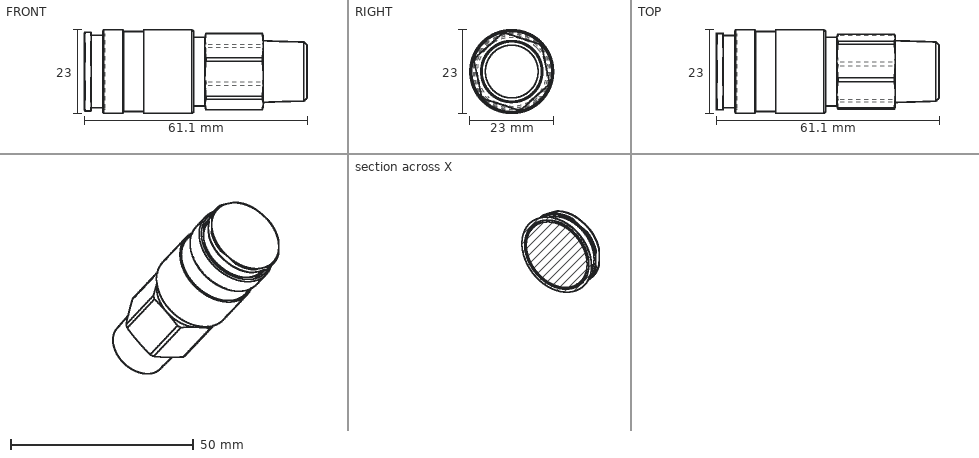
import cadquery as cq
import math

head_end = 1.9
sleeve_start = 5.0
band_start = 10.5
band_end = 16.25
sleeve_end = 30.05
hex_start = 33.05
hex_end = 49.05
total_length = 61.1

head_diameter = 21.7
head_across_flats = 21.0
head_chamfer_length = 0.2

front_neck_diameter = 19.9
sleeve_recess_diameter = 20.7
sleeve_recess_depth = 0.6
sleeve_diameter = 23.0
band_diameter = 22
rear_neck_diameter = 18.95
sleeve_front_chamfer = 0.35
sleeve_rear_chamfer = 0.55
band_wall_slope = 0.25

hex_across_flats = 19.0
hex_corner_diameter = 21.3
hex_turn = 12
hex_chamfer_length = 0.3

taper = 1 / 16
spigot_tip_diameter = 16.3
spigot_chamfer = 0.9
spigot_chamfer_start = total_length - spigot_chamfer
spigot_root_diameter = spigot_tip_diameter + taper * (spigot_chamfer_start - hex_end)


def revolved(stations):
    """Solid of revolution about X from (x, diameter) stations."""
    outline = [(x, diameter / 2) for x, diameter in stations]
    first_x = stations[0][0]
    last_x = stations[-1][0]
    outline = [(first_x, 0)] + outline + [(last_x, 0)]
    return cq.Workplane("XY").polyline(outline).close().revolve(360, (0, 0, 0), (1, 0, 0))


def chamfered_hexagon(start, end, across_flats, corner_diameter, face_diameter, chamfer_length, turn):
    """Hexagonal prism along X, its corners trimmed round and chamfered at both ends.

    With no turn, two corners lie on the Z axis.
    """
    corner_to_corner = across_flats / math.cos(math.pi / 6)
    prism = (
        cq.Workplane("YZ", origin=(start, 0, 0))
        .transformed(rotate=(0, 0, 90 + turn))
        .polygon(6, corner_to_corner)
        .extrude(end - start)
    )
    envelope = revolved([
        (start, face_diameter),
        (start + chamfer_length, corner_diameter),
        (end - chamfer_length, corner_diameter),
        (end, face_diameter),
    ])
    return prism.intersect(envelope)


head = chamfered_hexagon(
    0, head_end, head_across_flats, head_diameter, head_across_flats, head_chamfer_length, 0
)

body = revolved([
    (head_end, front_neck_diameter),
    (sleeve_start + sleeve_recess_depth, front_neck_diameter),
    (sleeve_start + sleeve_recess_depth, sleeve_recess_diameter),
    (sleeve_start, sleeve_recess_diameter),
    (sleeve_start, band_diameter),
    (sleeve_start + sleeve_front_chamfer, sleeve_diameter),
    (band_start, sleeve_diameter),
    (band_start + band_wall_slope, band_diameter),
    (band_end, band_diameter),
    (band_end, sleeve_diameter),
    (sleeve_end - sleeve_rear_chamfer, sleeve_diameter),
    (sleeve_end, band_diameter),
    (sleeve_end, rear_neck_diameter),
    (hex_start, rear_neck_diameter),
])

wrench_hexagon = chamfered_hexagon(
    hex_start, hex_end, hex_across_flats, hex_corner_diameter, rear_neck_diameter, hex_chamfer_length, hex_turn
)

spigot = revolved([
    (hex_end, spigot_root_diameter),
    (spigot_chamfer_start, spigot_tip_diameter),
    (total_length, spigot_tip_diameter - 2 * spigot_chamfer),
])

result = head.union(body).union(wrench_hexagon).union(spigot)